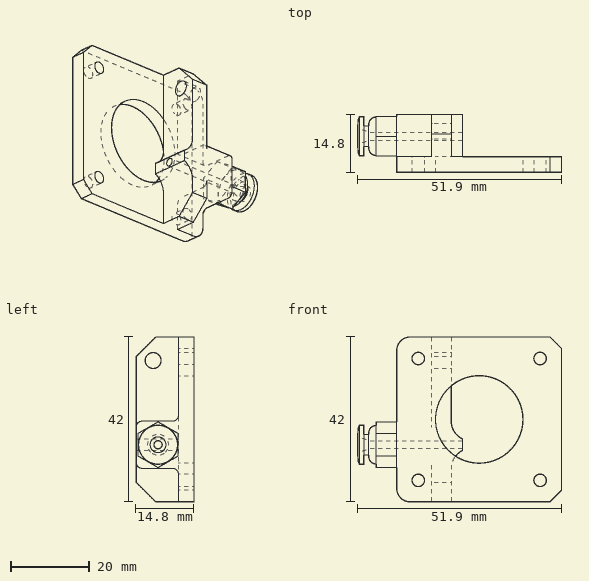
import cadquery as cq

plate_side = 42.0
plate_thickness = 4.0
total_depth = 14.75
total_length = 51.9
plate_left = -plate_side / 2
plate_top = plate_side / 2

corner_radius = 3.5
corner_chamfer = 3.0
bore_diameter = 22.2
screw_pitch = 31.0
screw_hole_diameter = 3.1

wall_left = plate_left + 8.95
wall_right = plate_left + 13.9
wall_chamfer = 5.0
wall_hole_diameter = 4.0
wall_hole_from_back = 4.3
wall_hole_from_top = 6.0

boss_height = 12.0
boss_z = -6.45
boss_edge_radius = 1.5
boss_right = plate_left + 16.75
boss_flare_radius = 5.0

fitting_y = 9.2
hex_across_flats = 10.05
hex_length = 5.2
dome_length = 1.9
dome_base_radius = 4.95
dome_tip_radius = 3.1
neck_length = 1.2
neck_radius = 2.65
flange_radius = 5.0
flange_face_radius = 4.25
flange_edge_depth = 0.4
face_rim_depth = 0.15
face_dome_radius = 16.6
mouth_diameter = 4.0
mouth_depth = 3.1
passage_diameter = 2.0


def box(x0, x1, y0, y1, z0, z1):
    """Box between two opposite corners."""
    return cq.Workplane("XY").box(x1 - x0, y1 - y0, z1 - z0, centered=False).translate((x0, y0, z0))


def cylinder_along_x(diameter, x0, x1, y, z):
    """Cylinder between two X positions."""
    return cq.Workplane("YZ", origin=(x0, y, z)).circle(diameter / 2).extrude(x1 - x0)


def make_plate():
    plate = box(plate_left, -plate_left, 0, plate_thickness, -plate_top, plate_top)
    plate = plate.edges("|Y and <X").fillet(corner_radius)
    return plate.edges("|Y and >X").chamfer(corner_chamfer)


def make_wall():
    wall = box(wall_left, wall_right, 0, total_depth, -plate_top, plate_top)
    wall = wall.edges("|X and >Y").chamfer(wall_chamfer)
    hole = cylinder_along_x(
        wall_hole_diameter,
        wall_left,
        wall_right,
        total_depth - wall_hole_from_back,
        plate_top - wall_hole_from_top,
    )
    return wall.cut(hole)


def make_boss():
    """Block flush with the plate's left side, blended into the plate's back face."""
    half = boss_height / 2
    r = boss_edge_radius
    return (
        cq.Workplane("YZ", origin=(plate_left, 0, boss_z))
        .moveTo(0, -half - r)
        .lineTo(plate_thickness, -half - r)
        .radiusArc((plate_thickness + r, -half), r)
        .lineTo(total_depth - r, -half)
        .radiusArc((total_depth, -half + r), -r)
        .lineTo(total_depth, half - r)
        .radiusArc((total_depth - r, half), -r)
        .lineTo(plate_thickness + r, half)
        .radiusArc((plate_thickness, half + r), r)
        .lineTo(0, half + r)
        .close()
        .extrude(wall_right - plate_left)
    )


def make_inner_pad():
    """Raised pad on the inner side of the wall, with a hollow flare above and below."""
    half = boss_height / 2
    pad = box(wall_right, boss_right, plate_thickness, total_depth, boss_z - half, boss_z + half)
    for side in (-1, 1):
        flare = (
            cq.Workplane("XZ", origin=(wall_right + boss_flare_radius, 0, boss_z + side * half))
            .circle(boss_flare_radius)
            .extrude(-total_depth)
        )
        pad = pad.cut(flare)
    return pad


def make_fitting():
    hexagon = (
        cq.Workplane("YZ", origin=(plate_left, fitting_y, boss_z))
        .polygon(6, hex_across_flats, circumscribed=True)
        .extrude(-hex_length)
    )
    dome_base = plate_left - hex_length
    dome_tip = dome_base - dome_length
    flange_back = dome_tip - neck_length
    flange_front = -plate_left - total_length
    nose = (
        cq.Workplane("XY", origin=(0, fitting_y, boss_z))
        .moveTo(dome_base, 0)
        .lineTo(dome_base, dome_base_radius)
        .radiusArc((dome_tip, dome_tip_radius), -dome_length)
        .lineTo(dome_tip, neck_radius)
        .lineTo(flange_back, neck_radius)
        .lineTo(flange_back, flange_radius)
        .lineTo(flange_front + flange_edge_depth, flange_radius)
        .lineTo(flange_front + face_rim_depth, flange_face_radius)
        .radiusArc((flange_front, mouth_diameter / 2), -face_dome_radius)
        .lineTo(flange_front, 0)
        .close()
        .revolve(360, (0, 0, 0), (1, 0, 0))
    )
    return hexagon.union(nose)


def cut_plate_holes(body):
    bore = cq.Workplane("XZ").circle(bore_diameter / 2).extrude(-plate_thickness)
    screws = (
        cq.Workplane("XZ")
        .rect(screw_pitch, screw_pitch, forConstruction=True)
        .vertices()
        .circle(screw_hole_diameter / 2)
        .extrude(-plate_thickness)
    )
    return body.cut(bore).cut(screws)


def cut_air_passage(body):
    """Tapered mouth in the fitting, leading to a straight passage through the boss."""
    front = -plate_left - total_length
    mouth = (
        cq.Workplane("YZ", origin=(front, fitting_y, boss_z))
        .circle(mouth_diameter / 2)
        .workplane(offset=mouth_depth)
        .circle(passage_diameter / 2)
        .loft(ruled=True)
    )
    passage = cylinder_along_x(passage_diameter, front, boss_right, fitting_y, boss_z)
    return body.cut(mouth).cut(passage)


body = make_plate().union(make_wall()).union(make_boss()).union(make_inner_pad()).union(make_fitting())
result = cut_air_passage(cut_plate_holes(body))